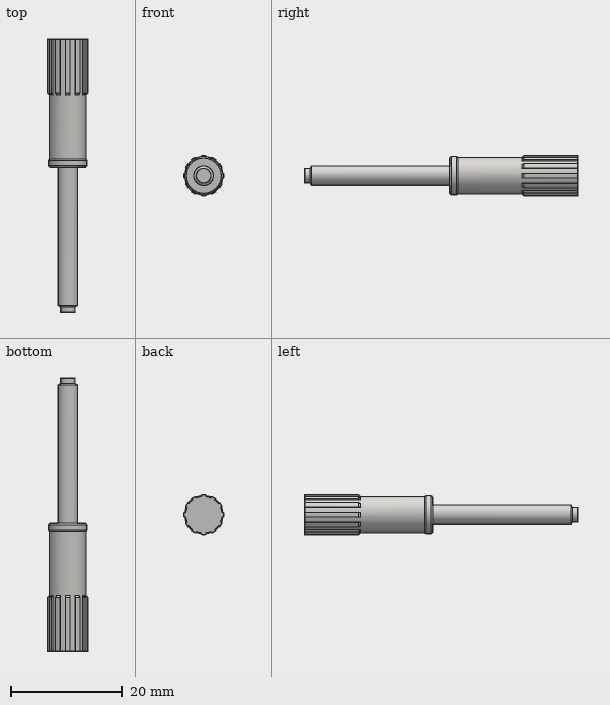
import cadquery as cq


knob_length = 23.0
barrel_diameter = 6.6
collar_diameter = 6.9
collar_length = 1.5
collar_taper_length = 0.3
collar_chamfer = 0.3

rib_count = 12
rib_width = 0.85
rib_length = 10.0
rib_crest_diameter = 7.2

screw_reach = 26.0
screw_diameter = 3.5
screw_end_taper_length = 0.25
tip_diameter = 2.6
tip_length = 1.0
screw_embedment = 10.0

barrel_radius = barrel_diameter / 2
collar_radius = collar_diameter / 2
rib_crest_radius = rib_crest_diameter / 2
rib_height = rib_crest_radius - barrel_radius
rib_start = knob_length - rib_length
screw_radius = screw_diameter / 2
tip_radius = tip_diameter / 2
shank_end = tip_length - screw_reach


def turned(profile):
    """Revolve a closed (radius, Y) outline about the Y axis."""
    return cq.Workplane("XY").polyline(profile).close().revolve(360, (0, 0, 0), (0, 1, 0))


def make_barrel():
    """Plain barrel with a chamfered collar at the seating face."""
    return turned([
        (0, 0),
        (collar_radius - collar_chamfer, 0),
        (collar_radius, collar_chamfer),
        (collar_radius, collar_length - collar_taper_length),
        (barrel_radius, collar_length),
        (barrel_radius, knob_length),
        (0, knob_length),
    ])


def make_ribs():
    """Parallel-sided ribs with rounded crests and 45-degree ends running out onto the barrel."""
    crest_envelope = turned([
        (0, rib_start),
        (barrel_radius, rib_start),
        (rib_crest_radius, rib_start + rib_height),
        (rib_crest_radius, knob_length),
        (0, knob_length),
    ])
    bars = cq.Workplane("XY")
    for index in range(rib_count // 2):
        bar = (
            cq.Workplane("XY")
            .box(rib_crest_diameter * 2, rib_length, rib_width)
            .translate((0, rib_start + rib_length / 2, 0))
            .rotate((0, 0, 0), (0, 1, 0), index * 360 / rib_count)
        )
        bars = bars.union(bar)
    return crest_envelope.intersect(bars)


def make_knob():
    """Ribbed knob with a blind bore that holds the screw."""
    bore = turned([
        (0, 0),
        (screw_radius, 0),
        (screw_radius, screw_embedment),
        (0, screw_embedment),
    ])
    return make_barrel().union(make_ribs()).cut(bore)


def make_screw():
    """Round shank that tapers at its end to a narrower straight tip."""
    return turned([
        (0, -screw_reach),
        (tip_radius, -screw_reach),
        (tip_radius, shank_end),
        (screw_radius, shank_end + screw_end_taper_length),
        (screw_radius, screw_embedment),
        (0, screw_embedment),
    ])


knob = make_knob()
screw = make_screw()

result = cq.Compound.makeCompound([knob.solids().val(), screw.val()])